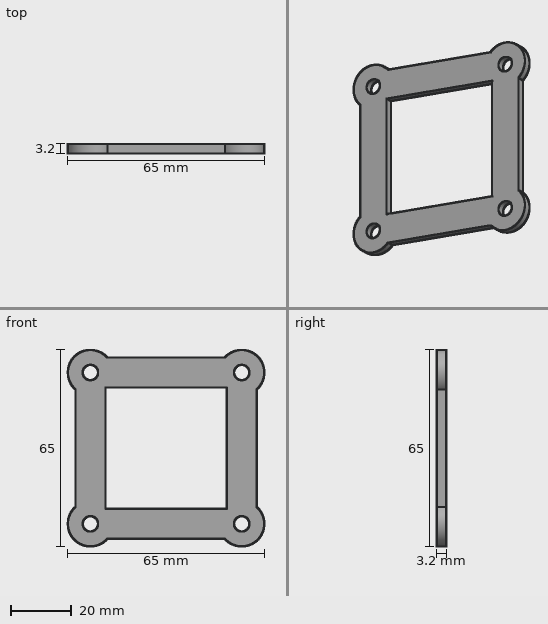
import cadquery as cq

thickness = 3.2
frame_side = 60.0
window_side = 40.0
hole_spacing = 50.0
hole_diameter = 5.0
ear_diameter = 15.0


def corner_cylinders(diameter):
    """Cylinders through the plate thickness at the four mounting points."""
    return (
        cq.Workplane("XZ")
        .rect(hole_spacing, hole_spacing, forConstruction=True)
        .vertices()
        .circle(diameter / 2)
        .extrude(thickness / 2, both=True)
    )


def square_block(side):
    """Square block, centred on the origin, as thick as the plate."""
    return cq.Workplane("XY").box(side, thickness, side)


plate = square_block(frame_side).union(corner_cylinders(ear_diameter))

result = plate.cut(square_block(window_side)).cut(corner_cylinders(hole_diameter))